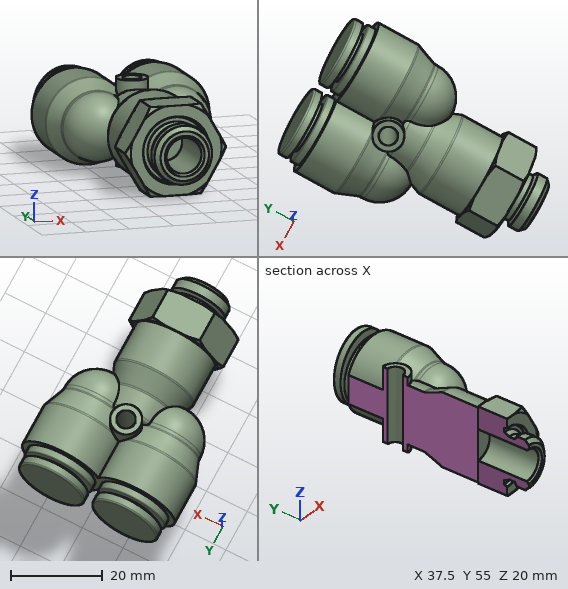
import cadquery as cq
import math


thread_back_y = 3.35
neck_start_y = 4.0
flare_start_y = 5.5
hex_front_y = 6.0
hex_back_y = 14.0
stem_taper_start_y = 24.05
stem_taper_end_y = 29.0
shoulder_y = 35.05
boss_y = 37.0
branch_cone_end_y = 40.05
branch_end_y = 50.0
ring_end_y = 51.8
button_flange_y = 52.95
overall_length = 55.0

thread_diameter = 13.15
neck_diameter = 11.2
flare_base_diameter = 12.6
tip_chamfer = 1.05
bore_diameter = 8.0
bore_chamfer = 0.55
hex_across_flats = 20.0
hex_chamfer_diameter = 20.75
hex_chamfer_length = 0.5
recess_diameter = 15.2
recess_floor_diameter = 14.5
recess_depth = 0.8

overall_width = 37.5
stem_diameter = 19.5
neck_end_diameter = 15.5
branch_diameter = stem_diameter
dome_top_diameter = 15.6
branch_offset = (overall_width - branch_diameter) / 2
edge_radius = 1.0
dome_y = shoulder_y - edge_radius
boss_diameter = 7.0
boss_hole_diameter = 4.2
boss_height = 19.5

ring_diameter = 16.5
ring_edge_radius = 0.15
button_neck_diameter = 11.7
button_width = 16.0
button_height = 18.55
button_edge_radius = 0.4


def revolve_about_y(outline):
    """Solid of revolution about Y from a sketch whose coordinates are radius and Y."""
    return outline.close().revolve(360, (0, 0, 0), (0, 1, 0))


def round_circle(body, y, radius):
    """Round the circular edge of a turned body that lies at station y."""
    margin = 0.03
    reach = overall_width
    low_corner = (-reach, y - margin, -reach)
    high_corner = (reach, y + margin, reach)
    circle = cq.selectors.BoxSelector(low_corner, high_corner, boundingbox=True)
    return body.edges(circle).fillet(radius)


def disc(diameter, y_start, y_end):
    """Cylinder on the Y axis."""
    return cq.Workplane("XZ", origin=(0, y_start, 0)).circle(diameter / 2).extrude(y_start - y_end)


def make_stem():
    stem = revolve_about_y(
        cq.Workplane("XY")
        .moveTo(0, hex_back_y)
        .lineTo(stem_diameter / 2, hex_back_y)
        .lineTo(stem_diameter / 2, stem_taper_start_y)
        .lineTo(neck_end_diameter / 2, stem_taper_end_y)
        .lineTo(neck_end_diameter / 2, shoulder_y)
        .lineTo(0, shoulder_y)
    )
    for y in (stem_taper_start_y, stem_taper_end_y, shoulder_y):
        stem = round_circle(stem, y, edge_radius)
    return stem


def make_branch():
    dome_radius = neck_end_diameter / 2
    arc_mid = dome_radius * math.sqrt(0.5)
    branch = revolve_about_y(
        cq.Workplane("XY")
        .moveTo(0, dome_y - dome_radius)
        .threePointArc((arc_mid, dome_y - arc_mid), (dome_radius, dome_y))
        .lineTo(dome_top_diameter / 2, shoulder_y)
        .lineTo(branch_diameter / 2, branch_cone_end_y)
        .lineTo(branch_diameter / 2, branch_end_y)
        .lineTo(0, branch_end_y)
    )
    for y in (shoulder_y, branch_cone_end_y):
        branch = round_circle(branch, y, edge_radius)
    return branch


def make_housing():
    housing = make_stem()
    for side in (-1, 1):
        housing = housing.union(make_branch().translate((side * branch_offset, 0, 0)))
    boss_plane = cq.Workplane("XY", origin=(0, boss_y, 0))
    boss = boss_plane.circle(boss_diameter / 2).extrude(boss_height / 2, both=True)
    hole = boss_plane.circle(boss_hole_diameter / 2).extrude(boss_height, both=True)
    return housing.union(boss).cut(hole)


def make_hexagon():
    """Hexagon with corners on X, its corners bevelled at both ends, with a recess in the front face."""
    corner_diameter = hex_across_flats / math.cos(math.pi / 6)
    hexagon = (
        cq.Workplane("XZ", origin=(0, hex_front_y, 0))
        .polygon(6, corner_diameter)
        .extrude(hex_front_y - hex_back_y)
    )
    bevel = revolve_about_y(
        cq.Workplane("XY")
        .moveTo(0, hex_front_y)
        .lineTo(hex_chamfer_diameter / 2, hex_front_y)
        .lineTo(corner_diameter / 2, hex_front_y + hex_chamfer_length)
        .lineTo(corner_diameter / 2, hex_back_y - hex_chamfer_length)
        .lineTo(hex_chamfer_diameter / 2, hex_back_y)
        .lineTo(0, hex_back_y)
    )
    recess = revolve_about_y(
        cq.Workplane("XY")
        .moveTo(0, hex_front_y)
        .lineTo(recess_diameter / 2, hex_front_y)
        .lineTo(recess_floor_diameter / 2, hex_front_y + recess_depth)
        .lineTo(0, hex_front_y + recess_depth)
    )
    return hexagon.intersect(bevel).cut(recess)


def make_stud():
    recess_floor_y = hex_front_y + recess_depth
    spigot = revolve_about_y(
        cq.Workplane("XY")
        .moveTo(0, 0)
        .lineTo(thread_diameter / 2 - tip_chamfer, 0)
        .lineTo(thread_diameter / 2, tip_chamfer)
        .lineTo(thread_diameter / 2, thread_back_y)
        .lineTo(neck_diameter / 2, neck_start_y)
        .lineTo(neck_diameter / 2, flare_start_y)
        .lineTo(flare_base_diameter / 2, recess_floor_y)
        .lineTo(0, recess_floor_y)
    )
    bore = revolve_about_y(
        cq.Workplane("XY")
        .moveTo(0, 0)
        .lineTo(bore_diameter / 2 + bore_chamfer, 0)
        .lineTo(bore_diameter / 2, bore_chamfer)
        .lineTo(bore_diameter / 2, hex_back_y)
        .lineTo(0, hex_back_y)
    )
    return make_hexagon().union(spigot).cut(bore)


def make_collar_ring(x):
    """Ring on the end face of a branch, around the neck of the release button."""
    ring = disc(ring_diameter, branch_end_y, ring_end_y).faces(">Y").edges().fillet(ring_edge_radius)
    ring = ring.cut(disc(button_neck_diameter, branch_end_y, ring_end_y))
    return ring.translate((x, 0, 0))


def make_release_button(x):
    """Round neck through the collar ring, with an oval flange at the outer end."""
    flange = (
        cq.Workplane("XZ", origin=(0, button_flange_y, 0))
        .ellipse(button_width / 2, button_height / 2)
        .extrude(button_flange_y - overall_length)
        .faces(">Y").edges().fillet(button_edge_radius)
    )
    button = flange.union(disc(button_neck_diameter, branch_end_y, button_flange_y))
    return button.translate((x, 0, 0))


housing = make_housing()
stud = make_stud()
collar_rings = []
release_buttons = []
for side in (-1, 1):
    collar_rings.append(make_collar_ring(side * branch_offset).val())
    release_buttons.append(make_release_button(side * branch_offset).val())

result = cq.Compound.makeCompound([housing.val(), stud.val(), *collar_rings, *release_buttons])